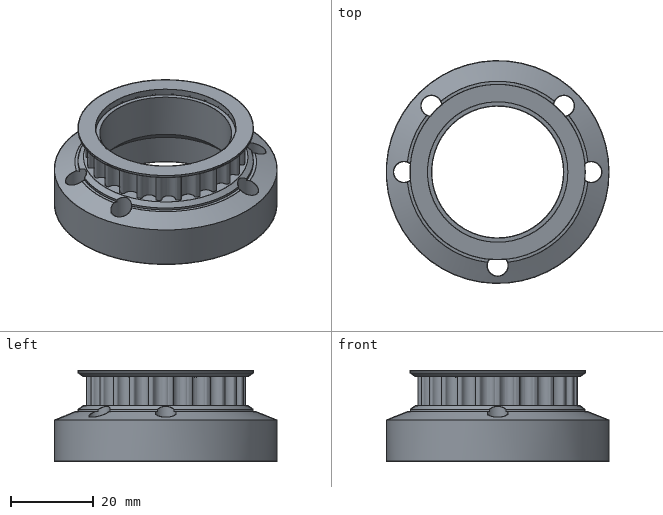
import cadquery as cq
import math

base_diameter = 54
base_edge_height = 10.0
shelf_diameter = 44.0
shelf_height = 12.05

flange_diameter = 42.5
flange_inner_diameter = 39.85
flange_rim_thickness = 0.55
flange_bevel_height = 0.9
tooth_height = 7.0
tooth_count = 25
tooth_tip_diameter = 38.65
groove_depth = 2.05
groove_radius = 1.7
groove_floor_width = 0.65
tooth_edge_radius = 0.45
first_groove_angle = 90

lower_rim_top = shelf_height + flange_rim_thickness
teeth_bottom = lower_rim_top + flange_bevel_height
teeth_top = teeth_bottom + tooth_height
upper_rim_bottom = teeth_top + flange_bevel_height
total_height = upper_rim_bottom + flange_rim_thickness

bore_diameter = 31.9
top_recess_diameter = 34
top_recess_depth = 1.6
lower_bore_diameter = 37.0
lower_bore_height = 7.1
bore_cone_height = (lower_bore_diameter - bore_diameter) / 2

screw_hole_diameter = 5.0
screw_circle_radius = 22.7
screw_hole_angles = (0, 45, 135, 180, 270)


def make_body():
    """Turned body with its stepped bore, before the teeth are cut."""
    base_radius = base_diameter / 2
    shelf_radius = shelf_diameter / 2
    flange_radius = flange_diameter / 2
    flange_inner_radius = flange_inner_diameter / 2
    tip_radius = tooth_tip_diameter / 2
    bore_radius = bore_diameter / 2
    recess_radius = top_recess_diameter / 2
    lower_bore_radius = lower_bore_diameter / 2
    recess_floor = total_height - top_recess_depth
    half_section = [
        (lower_bore_radius, 0),
        (base_radius, 0),
        (base_radius, base_edge_height),
        (shelf_radius, shelf_height),
        (flange_radius, shelf_height),
        (flange_radius, lower_rim_top),
        (flange_inner_radius, teeth_bottom),
        (tip_radius, teeth_bottom),
        (tip_radius, teeth_top),
        (flange_inner_radius, teeth_top),
        (flange_radius, upper_rim_bottom),
        (flange_radius, total_height),
        (recess_radius, total_height),
        (recess_radius, recess_floor),
        (bore_radius, recess_floor),
        (bore_radius, lower_bore_height + bore_cone_height),
        (lower_bore_radius, lower_bore_height),
    ]
    return cq.Workplane("XZ").polyline(half_section).close().revolve(360, (0, 0), (0, 1))


def point_on_circle(center, radius, angle):
    return (center[0] + radius * math.cos(angle), center[1] + radius * math.sin(angle))


def mirrored(point):
    """The same point on the other side of the groove's middle plane."""
    return (point[0], -point[1])


def make_groove():
    """Round groove on the +X side with a flat floor, its mouth rounded into the tooth tips."""
    tip_radius = tooth_tip_diameter / 2
    floor_x = tip_radius - groove_depth
    floor_edge = (floor_x, groove_floor_width / 2)
    groove_center_x = floor_x + math.sqrt(groove_radius**2 - floor_edge[1] ** 2)

    rounding_distance = tip_radius - tooth_edge_radius
    center_spacing = groove_radius + tooth_edge_radius
    rounding_x = (rounding_distance**2 + groove_center_x**2 - center_spacing**2) / (2 * groove_center_x)
    rounding_y = math.sqrt(rounding_distance**2 - rounding_x**2)
    rounding_center = (rounding_x, rounding_y)
    tip_angle = math.atan2(rounding_y, rounding_x)
    wall_angle = math.atan2(rounding_y, rounding_x - groove_center_x)
    rounding_wall_angle = wall_angle - math.pi
    tip_end = point_on_circle(rounding_center, tooth_edge_radius, tip_angle)
    wall_end = point_on_circle(rounding_center, tooth_edge_radius, rounding_wall_angle)
    rounding_middle = point_on_circle(
        rounding_center, tooth_edge_radius, (tip_angle + rounding_wall_angle) / 2
    )

    floor_angle = math.pi - math.asin(floor_edge[1] / groove_radius)
    wall_middle = point_on_circle((groove_center_x, 0), groove_radius, (wall_angle + floor_angle) / 2)

    return (
        cq.Workplane("XY", origin=(0, 0, teeth_bottom))
        .moveTo(*mirrored(tip_end))
        .threePointArc(mirrored(rounding_middle), mirrored(wall_end))
        .threePointArc(mirrored(wall_middle), mirrored(floor_edge))
        .lineTo(*floor_edge)
        .threePointArc(wall_middle, wall_end)
        .threePointArc(rounding_middle, tip_end)
        .threePointArc((tip_radius, 0), mirrored(tip_end))
        .close()
        .extrude(tooth_height)
    )


def cut_grooves(body):
    groove = make_groove()
    for index in range(tooth_count):
        angle = first_groove_angle + index * 360 / tooth_count
        body = body.cut(groove.rotate((0, 0, 0), (0, 0, 1), angle))
    return body


def make_screw_holes():
    """Through holes that also clip the edge of the lower flange."""
    centers = []
    for angle in screw_hole_angles:
        x = screw_circle_radius * math.cos(math.radians(angle))
        y = screw_circle_radius * math.sin(math.radians(angle))
        centers.append((x, y))
    return cq.Workplane("XY").pushPoints(centers).circle(screw_hole_diameter / 2).extrude(teeth_bottom)


result = cut_grooves(make_body()).cut(make_screw_holes())